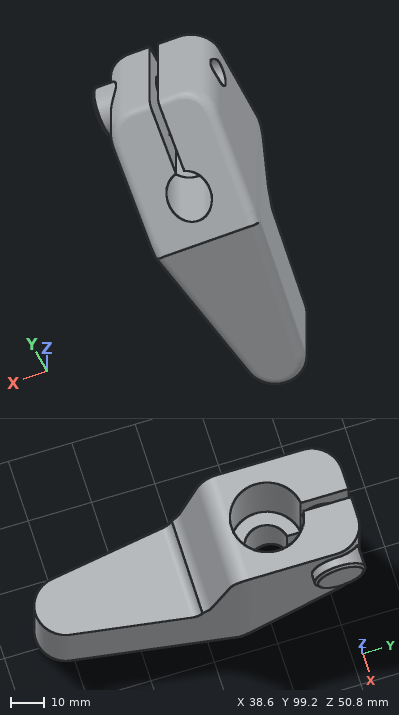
import cadquery as cq
import math


BLOCK_WIDTH = 35.0
HALF_WIDTH = BLOCK_WIDTH / 2
TOTAL_HEIGHT = 50.8
CORNER_RADIUS = 9.5
BEND_Y = -12.7
FLANK_BLEND_RADIUS = 25.4
UNDERSIDE_SLOPE = math.radians(30)
BOTTOM_FILLET = 3.3

TOTAL_LENGTH = 99.18
NOSE_RADIUS = 9.5
NOSE_OFFSET = 50.8
ARM_HEIGHT = TOTAL_HEIGHT / 2
NOSE_Y = BEND_Y - NOSE_OFFSET
BACK_Y = NOSE_Y - NOSE_RADIUS + TOTAL_LENGTH

CREST_Y = -10.9
CREST_RADIUS = 6.35
STEP_FROM_VERTICAL = math.radians(20)
STEP_END_DROP = 19.46
ROOT_RADIUS = 6.35
ROOT_SWEEP = math.radians(40)
FOOT_RADIUS = 3.3

BORE_DIAMETER = 22.3
BORE_DEPTH = TOTAL_HEIGHT / 2
THROUGH_DIAMETER = 13.65
SLOT_WIDTH = 2.7

SCREW_Y = BACK_Y - CORNER_RADIUS
SCREW_DEPTH = 11.2
SCREW_Z = TOTAL_HEIGHT - SCREW_DEPTH
SHANK_DIAMETER = 10.0
SHANK_LENGTH = 25.0
HEAD_DIAMETER = 16.0
HEAD_HEIGHT = 10.0
HEAD_PROTRUSION = 3.6
HEAD_CHAMFER = 0.8
HEAD_SEAT_X = HALF_WIDTH + HEAD_PROTRUSION - HEAD_HEIGHT
SCREW_TIP_X = HEAD_SEAT_X - SHANK_LENGTH
TAP_HOLE_DIAMETER = 8.8


def plan_outline():
    """Rounded block that tapers tangentially into the round nose."""
    bend_to_nose = math.hypot(HALF_WIDTH, NOSE_OFFSET)
    taper = math.atan2(HALF_WIDTH, NOSE_OFFSET) - math.asin(NOSE_RADIUS / bend_to_nose)
    nose_x = NOSE_RADIUS * math.cos(taper)
    nose_y = NOSE_Y - NOSE_RADIUS * math.sin(taper)
    blend = FLANK_BLEND_RADIUS * math.tan(taper / 2)
    blend_x = HALF_WIDTH - blend * math.sin(taper)
    blend_y = BEND_Y - blend * math.cos(taper)
    corner_x = HALF_WIDTH - CORNER_RADIUS
    corner_y = BACK_Y - CORNER_RADIUS
    return (
        cq.Workplane("XY")
        .moveTo(-corner_x, BACK_Y)
        .lineTo(corner_x, BACK_Y)
        .radiusArc((HALF_WIDTH, corner_y), CORNER_RADIUS)
        .lineTo(HALF_WIDTH, BEND_Y + blend)
        .radiusArc((blend_x, blend_y), FLANK_BLEND_RADIUS)
        .lineTo(nose_x, nose_y)
        .threePointArc((0, NOSE_Y - NOSE_RADIUS), (-nose_x, nose_y))
        .lineTo(-blend_x, blend_y)
        .radiusArc((-HALF_WIDTH, BEND_Y + blend), FLANK_BLEND_RADIUS)
        .lineTo(-HALF_WIDTH, corner_y)
        .radiusArc((-corner_x, BACK_Y), CORNER_RADIUS)
        .close()
    )


def rounded_prism(slope):
    """Plan outline extruded down to an underside that passes through the bend, with its lower edge rounded.

    The underside rises toward the back at the given slope.
    """
    front_y = NOSE_Y - NOSE_RADIUS
    front_z = (front_y - BEND_Y) * math.tan(slope)
    back_z = (BACK_Y - BEND_Y) * math.tan(slope)
    side_profile = (
        cq.Workplane("YZ")
        .polyline([(front_y, front_z), (BACK_Y, back_z), (BACK_Y, TOTAL_HEIGHT), (front_y, TOTAL_HEIGHT)])
        .close()
        .extrude(HALF_WIDTH, both=True)
    )
    underside_normal = cq.Vector(0, math.sin(slope), -math.cos(slope))
    column = plan_outline().extrude(TOTAL_HEIGHT - front_z).translate((0, 0, front_z))
    prism = column.intersect(side_profile)
    underside = prism.faces(cq.DirectionMinMaxSelector(underside_normal, True))
    return underside.edges().fillet(BOTTOM_FILLET)


def base_body():
    """Level and sloped undersides meeting in a fold across the bend."""
    return rounded_prism(0).intersect(rounded_prism(UNDERSIDE_SLOPE))


def step_cut():
    """Region above the arm, bounded by the crest, the slope and two root arcs."""
    lean = STEP_FROM_VERTICAL
    crest_turn = math.pi / 2 - lean
    crest_end_y = CREST_Y - CREST_RADIUS * math.sin(crest_turn)
    crest_end_drop = CREST_RADIUS * (1 - math.cos(crest_turn))
    slope_end_y = crest_end_y - (STEP_END_DROP - crest_end_drop) * math.tan(lean)
    slope_end_z = TOTAL_HEIGHT - STEP_END_DROP

    root_centre_y = slope_end_y - ROOT_RADIUS * math.cos(lean)
    root_centre_z = slope_end_z + ROOT_RADIUS * math.sin(lean)
    root_end_angle = -lean - ROOT_SWEEP
    root_end_y = root_centre_y + ROOT_RADIUS * math.cos(root_end_angle)
    root_end_z = root_centre_z + ROOT_RADIUS * math.sin(root_end_angle)

    foot_rise = FOOT_RADIUS - (root_end_z - ARM_HEIGHT)
    foot_end_y = root_end_y - math.sqrt(FOOT_RADIUS**2 - foot_rise**2)
    clear_y = NOSE_Y - 2 * NOSE_RADIUS
    return (
        cq.Workplane("YZ")
        .moveTo(CREST_Y, TOTAL_HEIGHT)
        .radiusArc((crest_end_y, TOTAL_HEIGHT - crest_end_drop), -CREST_RADIUS)
        .lineTo(slope_end_y, slope_end_z)
        .radiusArc((root_end_y, root_end_z), ROOT_RADIUS)
        .radiusArc((foot_end_y, ARM_HEIGHT), FOOT_RADIUS)
        .lineTo(clear_y, ARM_HEIGHT)
        .lineTo(clear_y, TOTAL_HEIGHT)
        .close()
        .extrude(BLOCK_WIDTH, both=True)
    )


def bore_and_slot():
    """Stepped bore with the slot that opens it to the back."""
    through = cq.Workplane("XY").circle(THROUGH_DIAMETER / 2).extrude(TOTAL_HEIGHT)
    bore = (
        cq.Workplane("XY")
        .workplane(offset=TOTAL_HEIGHT - BORE_DEPTH)
        .circle(BORE_DIAMETER / 2)
        .extrude(BORE_DEPTH)
    )
    slot = cq.Workplane("XY").box(SLOT_WIDTH, BACK_Y, TOTAL_HEIGHT, centered=(True, False, False))
    return through.union(bore).union(slot)


def x_cylinder(diameter, start_x, length):
    """Cylinder on the screw axis running from start_x toward +X."""
    return (
        cq.Workplane("YZ", origin=(start_x, SCREW_Y, SCREW_Z))
        .circle(diameter / 2)
        .extrude(length)
    )


def clamp_screw():
    """Cap screw with a plain chamfered head."""
    head = x_cylinder(HEAD_DIAMETER, HEAD_SEAT_X, HEAD_HEIGHT).faces(">X").chamfer(HEAD_CHAMFER)
    shank = x_cylinder(SHANK_DIAMETER, SCREW_TIP_X, SHANK_LENGTH)
    return head.union(shank)


def tap_hole():
    """Open end of the tapped hole between the -X flank and the screw tip."""
    return x_cylinder(TAP_HOLE_DIAMETER, -HALF_WIDTH, SCREW_TIP_X + HALF_WIDTH)


result = base_body().cut(step_cut()).cut(bore_and_slot()).cut(tap_hole()).union(clamp_screw())